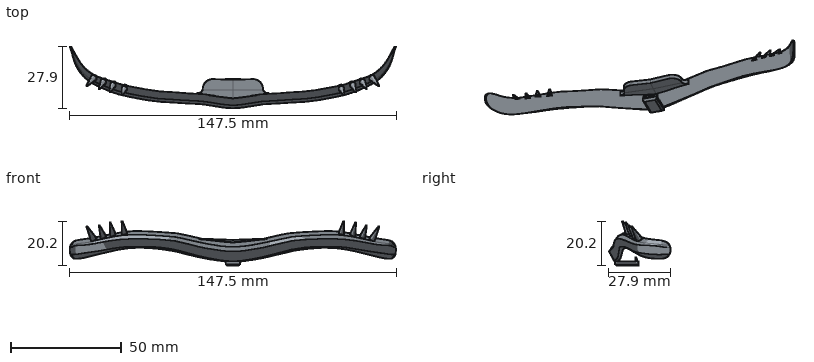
import cadquery as cq
import math


LENGTH = 147.54
DEPTH = 27.92
HEIGHT = 20.2

STATION_KEYS = ("x", "y", "sweep", "thick", "lean", "z_low", "z_front", "z_edge", "z_bevel", "z_top")
STATION_VALUES = [
    (0.0, 0.0, 0, 4.8, 2.4, 1.7, 2.1, 6.5, 8.6, 10.7),
    (7.0, 0.7, 5, 4.8, 2.4, 2.3, 2.7, 7.1, 9.1, 11.2),
    (14.0, 1.8, 5, 4.7, 2.3, 3.5, 4.1, 8.3, 10.4, 12.2),
    (20.0, 2.1, 4, 4.7, 2.2, 4.9, 5.6, 9.8, 11.7, 13.6),
    (26.0, 2.5, 6, 4.8, 2.1, 6.4, 7.2, 11.2, 13.0, 14.8),
    (35.0, 3.1, 9, 4.8, 1.8, 7.7, 8.5, 12.0, 13.7, 15.4),
    (45.0, 4.8, 11, 4.8, 1.6, 8.1, 8.7, 12.2, 14.1, 15.8),
    (51.0, 6.1, 15, 4.7, 1.4, 7.5, 8.4, 11.9, 13.7, 15.3),
    (57.0, 8.2, 22, 4.5, 1.1, 6.4, 7.4, 11.1, 12.7, 14.3),
    (65.9, 13.0, 42, 3.5, 0.5, 4.3, 6.0, 9.5, 10.8, 12.7),
    (70.4, 18.3, 60, 2.6, 0.2, 3.3, 5.3, 9.2, 10.2, 12.0),
    (72.2, 22.7, 70, 1.7, 0.1, 3.1, 5.1, 8.8, 9.8, 11.6),
    (LENGTH / 2, DEPTH, 76, 0.7, 0.0, 3.1, 5.1, 8.6, 9.6, 11.3),
]
STATIONS = [dict(zip(STATION_KEYS, values)) for values in STATION_VALUES]
BEVEL_SETBACK = 0.3
BACK_UNDERCUT = 0.25

END_RADIUS = 4.1
END_CENTRE_Z = 7.25

HORN_TIP_DROP = 0.12
HORNS = [
    ((63.1, 13.5, 12.3), (66.0, 10.2, 17.7)),
    ((58.6, 11.9, 13.1), (60.4, 8.9, 18.2)),
    ((54.2, 10.5, 14.0), (55.5, 7.5, 19.5)),
    ((49.0, 9.0, 14.5), (50.1, 6.1, HEIGHT - HORN_TIP_DROP)),
]
HORN_BASE_RADIUS = 1.5
HORN_TIP_RADIUS = 0.25
HORN_SINK = 1.0

PLATE_HALF_WIDTH = 13.7
PLATE_BACK_Y = 13.3
PLATE_CREASE_Y = 8.5
PLATE_CORNER = 4.7
PLATE_BACK_DIP = 0.4
PLATE_ROOT_Y = 4.6
PLATE_ROOT_SWEEP = 1.9
PLATE_ROOT_OVERLAP = 1.5
PLATE_FLARE = 2.6
PLATE_FLARE_DEPTH = 1.6
PLATE_THICKNESS = 2.0
PLATE_ROOT_Z = 10.7
PLATE_CREASE_Z = 11.5
PLATE_BACK_Z = 11.8
PLATE_ROOT_RISE = 1.3
PLATE_SIDE_RISE = 0.6

CLIP_HALF_WIDTH = 3.3
CLIP_FRONT_Y = 2.7
CLIP_BACK_Y = 13.4
CLIP_THICKNESS = 2.0
CLIP_BEVEL = 0.8
LIP_BACK_Y = 13.0
LIP_ROOT_Z = CLIP_THICKNESS / 2
LIP_TOP_Y = 12.3
LIP_THICKNESS = 0.4
LIP_TOP_Z = 3.9


def bar_section(station, side):
    """Five-sided wire across the bar, square to its heading; side is +1 or -1 in X."""
    angle = math.radians(station["sweep"])

    def corner(setback, z):
        x = station["x"] - setback * math.sin(angle)
        y = station["y"] + setback * math.cos(angle)
        return cq.Vector(side * x, y, z)

    thick = station["thick"]
    corners = [
        corner(station["lean"], station["z_front"]),
        corner(0, station["z_edge"]),
        corner(BEVEL_SETBACK * thick, station["z_bevel"]),
        corner(thick, station["z_top"]),
        corner((1 - BACK_UNDERCUT) * thick, station["z_low"]),
    ]
    return cq.Wire.makePolygon(corners, close=True)


def brow_bar():
    """Smooth bar from end to end, both ends rounded in side profile."""
    left = [bar_section(s, -1) for s in reversed(STATIONS[1:])]
    right = [bar_section(s, 1) for s in STATIONS]
    bar = cq.Workplane(cq.Solid.makeLoft(left + right))
    end_centre_y = DEPTH - END_RADIUS
    trim_size = 4 * END_RADIUS
    beyond_end = (
        cq.Workplane("YZ")
        .center(end_centre_y, END_CENTRE_Z)
        .rect(trim_size, trim_size)
        .circle(END_RADIUS)
        .extrude(LENGTH, both=True)
    )
    before_end = cq.Workplane("XY").box(2 * LENGTH, end_centre_y, HEIGHT, centered=(True, False, False))
    return bar.cut(beyond_end.cut(before_end))


def horn(base, tip):
    """Blunt cone from inside the bar to the tip."""
    base_point = cq.Vector(*base)
    axis = cq.Vector(*tip) - base_point
    direction = axis.normalized()
    start = base_point - direction * HORN_SINK
    length = axis.Length + HORN_SINK
    return cq.Workplane(cq.Solid.makeCone(HORN_BASE_RADIUS, HORN_TIP_RADIUS, length, start, direction))


def plate_profile(x, root_sweep, root_rise, rise):
    """Creased side profile of the top plate at one X position."""
    root_y = PLATE_ROOT_Y + root_sweep
    root_z = PLATE_ROOT_Z + root_rise
    crease_z = PLATE_CREASE_Z + rise
    back_z = PLATE_BACK_Z + rise
    corners = [
        cq.Vector(x, root_y, root_z),
        cq.Vector(x, PLATE_CREASE_Y, crease_z),
        cq.Vector(x, PLATE_BACK_Y, back_z),
        cq.Vector(x, PLATE_BACK_Y, back_z - PLATE_THICKNESS),
        cq.Vector(x, PLATE_CREASE_Y, crease_z - PLATE_THICKNESS),
        cq.Vector(x, root_y - PLATE_ROOT_OVERLAP, root_z - PLATE_THICKNESS),
    ]
    return cq.Wire.makePolygon(corners, close=True)


def half_plate():
    """Top plate on the +X side, trimmed to its rounded plan outline."""
    outer_x = PLATE_HALF_WIDTH + PLATE_FLARE
    inner_profile = plate_profile(0, 0, 0, 0)
    outer_profile = plate_profile(outer_x, PLATE_ROOT_SWEEP, PLATE_ROOT_RISE, PLATE_SIDE_RISE)
    slab = cq.Workplane(cq.Solid.makeLoft([inner_profile, outer_profile], True))
    inside_bar_y = PLATE_ROOT_Y - PLATE_ROOT_OVERLAP
    flare_y = PLATE_CREASE_Y - PLATE_FLARE_DEPTH
    flare_headings = [(-1, 0), (-0.2, 1)]
    back_headings = [(-1, 0), (-1, 0)]
    outline = (
        cq.Workplane("XY")
        .moveTo(0, inside_bar_y)
        .lineTo(outer_x, inside_bar_y)
        .lineTo(outer_x, flare_y)
        .spline([(PLATE_HALF_WIDTH, PLATE_CREASE_Y)], tangents=flare_headings, includeCurrent=True)
        .lineTo(PLATE_HALF_WIDTH, PLATE_BACK_Y - PLATE_CORNER)
        .radiusArc((PLATE_HALF_WIDTH - PLATE_CORNER, PLATE_BACK_Y), -PLATE_CORNER)
        .spline([(0, PLATE_BACK_Y - PLATE_BACK_DIP)], tangents=back_headings, includeCurrent=True)
        .close()
        .extrude(HEIGHT)
    )
    return slab.intersect(outline)


def clip_arm():
    """Lower arm of the clip, bevelled underneath, with a thin snap lip."""
    length = CLIP_BACK_Y - CLIP_FRONT_Y
    arm = (
        cq.Workplane("XY")
        .box(2 * CLIP_HALF_WIDTH, length, CLIP_THICKNESS, centered=(True, False, False))
        .translate((0, CLIP_FRONT_Y, 0))
        .edges("<Z and (not >Y)")
        .chamfer(CLIP_BEVEL)
    )
    lip = (
        cq.Workplane("YZ")
        .polyline([
            (LIP_BACK_Y, LIP_ROOT_Z),
            (LIP_BACK_Y, CLIP_THICKNESS),
            (LIP_TOP_Y, LIP_TOP_Z),
            (LIP_TOP_Y - LIP_THICKNESS, LIP_TOP_Z),
            (LIP_TOP_Y - LIP_THICKNESS, LIP_ROOT_Z),
        ])
        .close()
        .extrude(CLIP_HALF_WIDTH, both=True)
    )
    return arm.union(lip)


side_pieces = [half_plate()]
for horn_base, horn_tip in HORNS:
    side_pieces.append(horn(horn_base, horn_tip))

result = brow_bar().union(clip_arm())
for piece in side_pieces:
    result = result.union(piece).union(piece.mirror("YZ"))